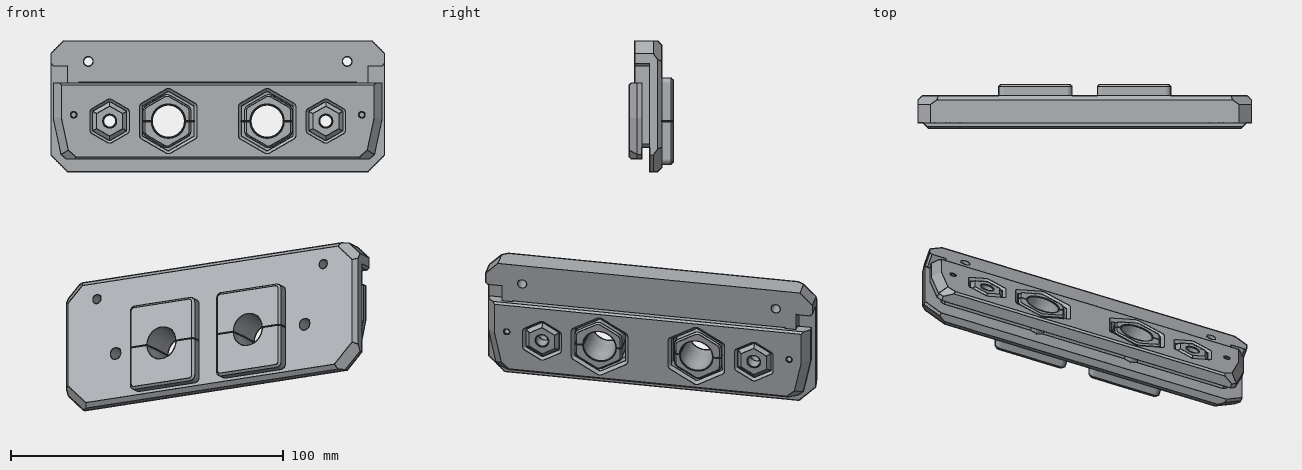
import cadquery as cq
import math

frame_width = 122.2
frame_height = 48.0
panel_thickness = 4.5
pedestal_thickness = 2.8
slab_thickness = 5.5
top_corner = 4.6
bottom_corner = 6.1
back_chamfer = 1.6
back_corner_chamfer = 3.2
pedestal_half_width = 55.0
pedestal_bottom = 9.0
pedestal_corner = 1.2
slab_bottom = 38.9
slab_corner = 0.9
clearance_gap = 0.4
clearance_half_width = 50.9
screw_diameter = 3.4
screw_x = 47.4
screw_z = 40.5

plate_front = -12.0
plate_back = -(panel_thickness + pedestal_thickness)
plate_half_width = 60.3
plate_top = 32.6
plate_bend = 19.5
plate_slant_end = (57.5, 6.4)
plate_bottom_corner = (55.6, 4.8)
end_chamfer = 2.9
long_chamfer = 0.7
pin_x = 52.8
pin_z = 20.9
pin_diameter = 2.0
pin_mouth_diameter = 2.5

opening_z = 18.6
clamp_x = 18.1
clamp_opening_flats = 19.0
clamp_mouth_chamfer = 1.1
opening_corner_radius = 0.6
sleeve_flats = 17.5
sleeve_offset = 0.5
sleeve_corner_radius = 2.5
sleeve_chamfer = 0.6
cover_width = 27.0
cover_height = 31.8
cover_thickness = 4.2
cover_corner_radius = 2.0
cover_chamfer = 0.9
bore_diameter = 12.1
rib_diameter = 11.7
rib_half_width = 5.0
rib_crest_half_width = 1.1
rim_chamfer = 0.2
split_gap = 0.4

plug_x = 39.6
plug_flats = 12.5
plug_mouth_chamfer = 1.0
plug_chamfer = 1.5
plug_bore_diameter = 4.6
plug_bore_depth = 2.5
plug_hole_diameter = 4.4

slab_front = -(panel_thickness + slab_thickness)


def prism(points, y_start, y_end):
    """Straight prism along Y with its outline given as X, Z points."""
    return cq.Workplane("XZ", origin=(0, y_start, 0)).polyline(points).close().extrude(y_start - y_end)


def mirrored(right_side):
    """Closed outline from its right-hand points, listed in order."""
    return right_side + [(-x, z) for x, z in reversed(right_side)]


def cylinder(diameter, x, z, y_start, y_end):
    return cq.Workplane("XZ", origin=(x, y_start, z)).circle(diameter / 2).extrude(y_start - y_end)


def revolved_cutter(x, wall):
    """Round cutter about the opening axis from the radius, Y points of its wall."""
    profile = [(0, wall[0][1])] + wall + [(0, wall[-1][1])]
    cutter = cq.Workplane("XY").polyline(profile).close().revolve(360, (0, 0, 0), (0, 1, 0))
    return cutter.translate((x, 0, opening_z))


def hexagon(flats, x, y_start, y_end):
    """Hexagonal prism along Y with a corner at the top."""
    corner_radius = flats / math.sqrt(3)
    points = []
    for i in range(6):
        angle = math.radians(90 + 60 * i)
        points.append((x + corner_radius * math.cos(angle), opening_z + corner_radius * math.sin(angle)))
    return prism(points, y_start, y_end)


def rounded_hexagon(flats, x, y_start, y_end, radius):
    return hexagon(flats, x, y_start, y_end).edges("|Y").fillet(radius)


def make_frame():
    half_width = frame_width / 2
    top_outline = [
        (half_width - top_corner, frame_height),
        (half_width, frame_height - top_corner),
    ]
    panel = prism(
        mirrored(top_outline + [
            (half_width, bottom_corner),
            (half_width - bottom_corner, 0),
        ]), 0, -panel_thickness)
    panel = panel.faces(">Y").edges("not(|X or |Z)").chamfer(back_corner_chamfer)
    panel = panel.faces(">Y").edges("|X or |Z").chamfer(back_chamfer)
    slab = prism(
        mirrored(top_outline + [
            (half_width, slab_bottom + slab_corner),
            (half_width - slab_corner, slab_bottom),
            (pedestal_half_width, slab_bottom),
            (pedestal_half_width, plate_top),
        ]), -panel_thickness, slab_front)
    pedestal = prism(
        mirrored([
            (pedestal_half_width, slab_bottom),
            (pedestal_half_width, pedestal_bottom + pedestal_corner),
            (pedestal_half_width - pedestal_corner, pedestal_bottom),
        ]), -panel_thickness, plate_back)
    body = panel.union(slab).union(pedestal)
    clearance = prism(
        mirrored([
            (clearance_half_width, plate_top + clearance_gap),
            (clearance_half_width, plate_top),
        ]), plate_back, slab_front)
    body = body.cut(clearance)
    for side in (-1, 1):
        body = body.cut(cylinder(screw_diameter, side * screw_x, screw_z, 0, slab_front))
        body = body.cut(hexagon(clamp_opening_flats, side * clamp_x, 0, plate_back))
        body = body.cut(cylinder(plug_hole_diameter, side * plug_x, opening_z, 0, plate_back))
    return body


def cut_opening(body, flats, x, mouth_chamfer):
    """Hexagonal through opening with softened corners and a chamfered mouth."""
    body = body.cut(rounded_hexagon(flats, x, plate_back, plate_front, opening_corner_radius))
    reach = flats / math.sqrt(3)
    around_mouth = cq.selectors.BoxSelector(
        (x - reach, plate_front - mouth_chamfer, opening_z - reach),
        (x + reach, plate_front + mouth_chamfer, opening_z + reach))
    return body.faces("<Y").edges(around_mouth).chamfer(mouth_chamfer)


def make_plate():
    body = prism(
        mirrored([
            (plate_half_width, plate_top),
            (plate_half_width, plate_bend),
            plate_slant_end,
            plate_bottom_corner,
        ]), plate_back, plate_front)
    body = body.faces("<Y").edges("not(#Z)").chamfer(end_chamfer)
    body = body.faces("<Y").edges("<Z or >Z").chamfer(long_chamfer)
    for side in (-1, 1):
        body = body.cut(cylinder(pin_diameter, side * pin_x, pin_z, plate_back, plate_front))
    body = body.faces("<Y").edges("%CIRCLE").chamfer((pin_mouth_diameter - pin_diameter) / 2)
    for side in (-1, 1):
        body = cut_opening(body, clamp_opening_flats, side * clamp_x, clamp_mouth_chamfer)
        body = cut_opening(body, plug_flats, side * plug_x, plug_mouth_chamfer)
    return body


def clamp_bore_outline():
    """Radius, Y points along the bore wall, with a low rib around the middle."""
    middle = (plate_front + cover_thickness) / 2
    return [
        (bore_diameter / 2 + rim_chamfer, plate_front),
        (bore_diameter / 2, plate_front + rim_chamfer),
        (bore_diameter / 2, middle - rib_half_width),
        (rib_diameter / 2, middle - rib_crest_half_width),
        (rib_diameter / 2, middle + rib_crest_half_width),
        (bore_diameter / 2, middle + rib_half_width),
        (bore_diameter / 2, cover_thickness),
    ]


def make_clamp(side):
    x = side * clamp_x
    cover = (
        cq.Workplane("XY").box(cover_width, cover_thickness, cover_height)
        .edges("|Y").fillet(cover_corner_radius)
        .faces(">Y").edges().chamfer(cover_chamfer)
        .translate((x, cover_thickness / 2, opening_z))
    )
    sleeve_x = x + side * sleeve_offset
    sleeve = rounded_hexagon(sleeve_flats, sleeve_x, 0, plate_front, sleeve_corner_radius)
    sleeve = sleeve.faces("<Y").edges().chamfer(sleeve_chamfer)
    body = cover.union(sleeve)
    body = body.cut(revolved_cutter(x, clamp_bore_outline()))
    gap = cq.Workplane("XY").box(frame_width, frame_width, split_gap).translate((0, 0, opening_z))
    return body.cut(gap)


def make_plug(side):
    x = side * plug_x
    body = hexagon(plug_flats, x, plate_back, plate_front).faces("<Y").edges().chamfer(plug_chamfer)
    body = body.intersect(rounded_hexagon(plug_flats, x, plate_back, plate_front, opening_corner_radius))
    return body.cut(revolved_cutter(x, [
        (plug_bore_diameter / 2 + rim_chamfer, plate_front),
        (plug_bore_diameter / 2, plate_front + rim_chamfer),
        (plug_bore_diameter / 2, plate_front + plug_bore_depth),
        (plug_hole_diameter / 2, plate_back),
    ]))


frame = make_frame()
plate = make_plate()
clamps = []
plugs = []
for side in (-1, 1):
    clamps += make_clamp(side).solids().vals()
    plugs.append(make_plug(side).val())
result = cq.Compound.makeCompound([frame.val(), plate.val(), *clamps, *plugs])